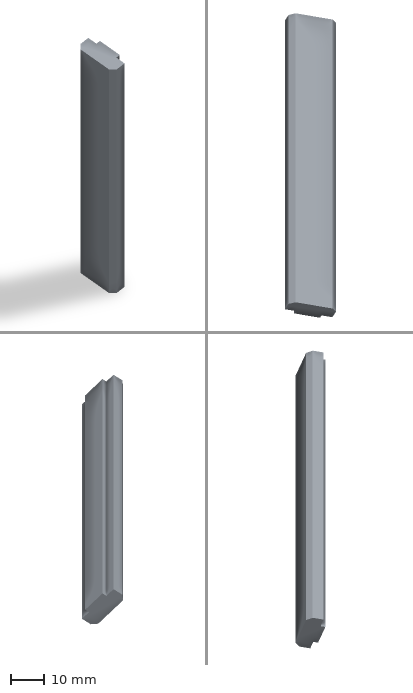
import cadquery as cq

length = 100.0
width = 15.0
depth = 6.5

tongue_width = 8.2
tongue_height = 1.5

bevel = 1.6

half_width = width / 2
half_tongue = tongue_width / 2
front_y = -depth / 2
back_y = depth / 2
shoulder_y = back_y - tongue_height

result = (
    cq.Workplane("XY")
    .workplane(offset=-length / 2)
    .polyline([
        (-half_width + bevel, front_y),
        (half_width - bevel, front_y),
        (half_width, front_y + bevel),
        (half_width, shoulder_y),
        (half_tongue, shoulder_y),
        (half_tongue, back_y),
        (-half_tongue, back_y),
        (-half_tongue, shoulder_y),
        (-half_width, shoulder_y),
        (-half_width, front_y + bevel),
    ])
    .close()
    .extrude(length)
)